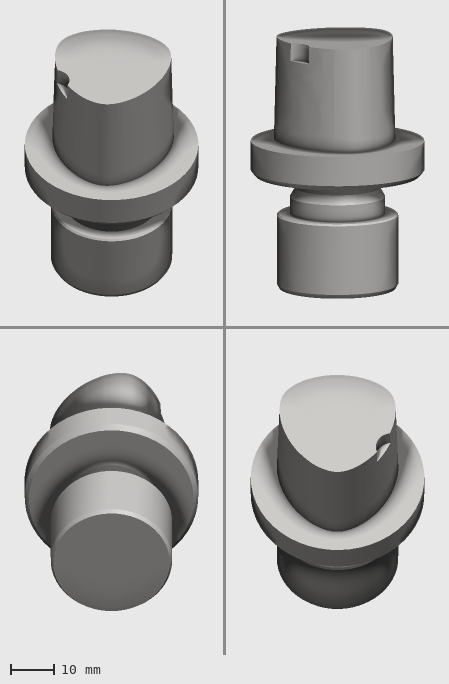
import cadquery as cq
import math

total_height = 58.6
flange_bottom = 26.55
flange_top = 34.6

flange_radius = 40.0 / 2
flange_chamfer_width = 1.0
flange_chamfer_height = 1.2

base_radius = 28.0 / 2
base_top = 17.5
base_bottom_chamfer_width = 0.6
base_bottom_chamfer_height = 1.0
base_top_chamfer = 0.4

collar_radius = 22.0 / 2
collar_top = 21.45
neck_radius = 19.5 / 2
neck_bottom = 23.55
neck_fillet_radius = 0.9

shank_mean_radius = 14.0
lobe_height = 0.95
taper_per_side = 1 / 40
lobe_count = 3
spans_per_lobe = 2
steps_per_span = 6

notch_radius = 3.75
notch_inner_y = -10.85
notch_depth = 4.05


def make_turned_body():
    """Revolve the base, neck and flange about the Z axis."""
    fillet_start = flange_bottom - neck_fillet_radius
    fillet_middle = neck_fillet_radius * (1 - math.sqrt(0.5))
    profile = (
        cq.Workplane("XZ")
        .lineTo(base_radius - base_bottom_chamfer_width, 0)
        .lineTo(base_radius, base_bottom_chamfer_height)
        .lineTo(base_radius, base_top - base_top_chamfer)
        .lineTo(base_radius - base_top_chamfer, base_top)
        .lineTo(collar_radius, base_top)
        .lineTo(collar_radius, collar_top)
        .lineTo(neck_radius, neck_bottom)
        .lineTo(neck_radius, fillet_start)
        .threePointArc(
            (neck_radius + fillet_middle, flange_bottom - fillet_middle),
            (neck_radius + neck_fillet_radius, flange_bottom),
        )
        .lineTo(flange_radius - flange_chamfer_width, flange_bottom)
        .lineTo(flange_radius, flange_bottom + flange_chamfer_height)
        .lineTo(flange_radius, flange_top)
        .lineTo(0, flange_top)
        .close()
    )
    return profile.revolve(360, (0, 0, 0), (0, 1, 0))


def lobed_point(normal_angle, mean_radius, z):
    """Point of the lobed outline whose outward normal has the given angle; one lobe faces +Y."""
    phase = lobe_count * (normal_angle - math.pi / 2)
    support = mean_radius + lobe_height * math.cos(phase)
    support_slope = -lobe_count * lobe_height * math.sin(phase)
    x = support * math.cos(normal_angle) - support_slope * math.sin(normal_angle)
    y = support * math.sin(normal_angle) + support_slope * math.cos(normal_angle)
    return cq.Vector(x, y, z)


def lobed_wire(mean_radius, z):
    """Closed outline of smoothly joined spans alternating between corners and flanks."""
    span_count = lobe_count * spans_per_lobe
    span_angle = 2 * math.pi / span_count
    edges = []
    for span in range(span_count):
        angles = [(span + step / steps_per_span) * span_angle for step in range(steps_per_span + 1)]
        points = [lobed_point(angle, mean_radius, z) for angle in angles]
        tangents = [cq.Vector(-math.sin(angle), math.cos(angle), 0) for angle in (angles[0], angles[-1])]
        edges.append(cq.Edge.makeSpline(points, tangents=tangents))
    return cq.Wire.assembleEdges(edges)


def make_shank():
    """Loft the shank between its wide foot and its narrower top."""
    shank_height = total_height - flange_top
    top_mean_radius = shank_mean_radius - taper_per_side * shank_height
    foot = lobed_wire(shank_mean_radius, flange_top)
    top = lobed_wire(top_mean_radius, total_height)
    return cq.Workplane(cq.Solid.makeLoft([foot, top], True))


def make_notch():
    """Upright cylinder that cuts the notch from the top face."""
    return (
        cq.Workplane("XY")
        .workplane(offset=total_height - notch_depth)
        .center(0, notch_inner_y - notch_radius)
        .circle(notch_radius)
        .extrude(notch_depth)
    )


shank = make_shank().cut(make_notch())
result = make_turned_body().union(shank)